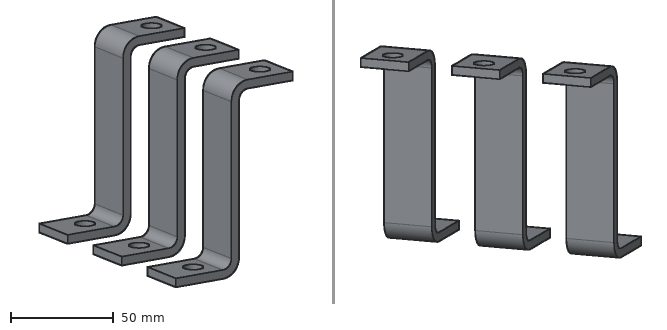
import cadquery as cq

row_length = 120.0
overall_depth = 68.5
overall_height = 98.5

bracket_count = 3
strip_width = 25.0
thickness = 4.5
inner_radius = 5.0
outer_radius = inner_radius + thickness

upper_flange_length = 36.0
hole_diameter = 10.0
upper_hole_inset = 11.0
lower_hole_inset = 18.5

pitch = (row_length - strip_width) / (bracket_count - 1)
front_y = -overall_depth / 2
back_y = overall_depth / 2
web_front_y = back_y - upper_flange_length
web_back_y = web_front_y + thickness
upper_hole_y = back_y - upper_hole_inset
lower_hole_y = front_y + lower_hole_inset


def bent_strip():
    """Z-shaped strip centred on X = 0, standing on Z = 0, with square bends."""
    return (
        cq.Workplane("YZ")
        .moveTo(front_y, 0)
        .lineTo(web_back_y, 0)
        .lineTo(web_back_y, overall_height - thickness)
        .lineTo(back_y, overall_height - thickness)
        .lineTo(back_y, overall_height)
        .lineTo(web_front_y, overall_height)
        .lineTo(web_front_y, thickness)
        .lineTo(front_y, thickness)
        .close()
        .extrude(strip_width / 2, both=True)
    )


def edge_at(body, y, z):
    """The edge along X that passes through the given Y and Z."""
    return body.edges("|X").edges(cq.selectors.NearestToPointSelector((0, y, z)))


def round_bends(body):
    """Round the inside and outside of both bends about a common centre."""
    corners = [
        (web_back_y, 0, outer_radius),
        (web_front_y, thickness, inner_radius),
        (web_front_y, overall_height, outer_radius),
        (web_back_y, overall_height - thickness, inner_radius),
    ]
    for y, z, radius in corners:
        body = edge_at(body, y, z).fillet(radius)
    return body


def flange_holes():
    """Two upright cutters, each passing through one flange."""
    return (
        cq.Workplane("XY")
        .pushPoints([(0, upper_hole_y), (0, lower_hole_y)])
        .circle(hole_diameter / 2)
        .extrude(overall_height)
    )


def make_bracket(x):
    """One complete bracket centred at the given X."""
    bracket = round_bends(bent_strip()).cut(flange_holes())
    return bracket.translate((x, 0, 0))


brackets = []
for index in range(bracket_count):
    bracket_x = (index - (bracket_count - 1) / 2) * pitch
    brackets.append(make_bracket(bracket_x))

result = cq.Compound.makeCompound([bracket.solids().val() for bracket in brackets])